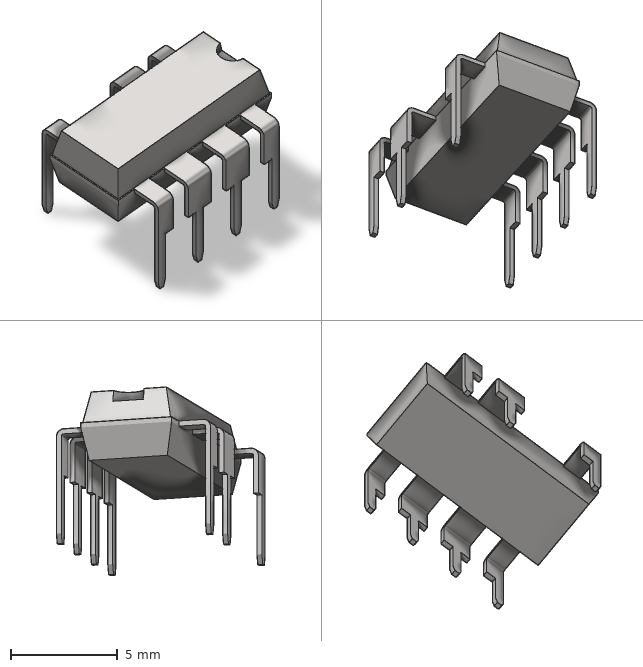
import cadquery as cq

BODY_LENGTH = 10.28
BODY_WIDTH = 4.49
HALF_HEIGHT = 1.52
TAPER_INSET = 0.32
UPPER_STEP = 0.07

NOTCH_RADIUS = 0.75
NOTCH_CENTRE_Y = 4.82
NOTCH_DEPTH = 0.54

LEAD_THICKNESS = 0.25
LEAD_SPAN = 7.62
LEAD_PITCH = 2.54
BEND_INNER_RADIUS = LEAD_THICKNESS / 2
BEND_OUTER_RADIUS = BEND_INNER_RADIUS + LEAD_THICKNESS
SHOULDER_WIDTH = 1.54
PIN_WIDTH = 0.48
TIP_WIDTH = 0.25
TIP_HEIGHT = 0.45
SHOULDER_Z = 3.3
BODY_BOTTOM_Z = 3.69

POSITION_COUNT = 4
LEFT_POSITIONS = (0, 2, 3)
RIGHT_POSITIONS = (0, 1, 2, 3)

BAND_BOTTOM_Z = BODY_BOTTOM_Z + HALF_HEIGHT
BAND_TOP_Z = BAND_BOTTOM_Z + LEAD_THICKNESS
BODY_TOP_Z = BAND_TOP_Z + HALF_HEIGHT


def tapered_half(width, length, base_z, direction):
    """Frustum growing from base_z up (direction 1) or down (direction -1)."""
    return (
        cq.Workplane("XY", origin=(0, 0, base_z))
        .rect(width, length)
        .workplane(offset=direction * HALF_HEIGHT)
        .rect(width - 2 * TAPER_INSET, length - 2 * TAPER_INSET)
        .loft(ruled=True)
    )


def make_body():
    band = (
        cq.Workplane("XY", origin=(0, 0, BAND_BOTTOM_Z))
        .rect(BODY_WIDTH, BODY_LENGTH)
        .extrude(LEAD_THICKNESS)
    )
    lower = tapered_half(BODY_WIDTH, BODY_LENGTH, BAND_BOTTOM_Z, -1)
    upper = tapered_half(BODY_WIDTH - 2 * UPPER_STEP, BODY_LENGTH - 2 * UPPER_STEP, BAND_TOP_Z, 1)
    notch = (
        cq.Workplane("XY", origin=(0, NOTCH_CENTRE_Y, BODY_TOP_Z))
        .circle(NOTCH_RADIUS)
        .extrude(-NOTCH_DEPTH)
    )
    return band.union(lower).union(upper).cut(notch)


def make_bent_strip():
    """Full-length sheet bent down on the +X side, from which single leads are cut."""
    outer_x = LEAD_SPAN / 2
    inner_x = outer_x - LEAD_THICKNESS
    bend_x = outer_x - BEND_OUTER_RADIUS
    bend_z = BAND_TOP_Z - BEND_OUTER_RADIUS
    root_x = BODY_WIDTH / 2 - LEAD_THICKNESS
    return (
        cq.Workplane("XZ")
        .moveTo(root_x, BAND_TOP_Z)
        .lineTo(bend_x, BAND_TOP_Z)
        .tangentArcPoint((outer_x, bend_z), relative=False)
        .lineTo(outer_x, 0)
        .lineTo(inner_x, 0)
        .lineTo(inner_x, bend_z)
        .tangentArcPoint((bend_x, BAND_BOTTOM_Z), relative=False)
        .lineTo(root_x, BAND_BOTTOM_Z)
        .close()
        .extrude(BODY_LENGTH / 2, both=True)
    )


def make_lead(strip, position):
    """Lead on the +X side; end leads lose the shoulder on their outer side."""
    low_edge = PIN_WIDTH / 2 if position == 0 else SHOULDER_WIDTH / 2
    high_edge = PIN_WIDTH / 2 if position == POSITION_COUNT - 1 else SHOULDER_WIDTH / 2
    centre_y = (position - (POSITION_COUNT - 1) / 2) * LEAD_PITCH
    shoulder = (
        cq.Workplane("YZ", origin=(0, centre_y, 0))
        .moveTo(-low_edge, SHOULDER_Z)
        .lineTo(high_edge, SHOULDER_Z)
        .lineTo(high_edge, BAND_TOP_Z)
        .lineTo(-low_edge, BAND_TOP_Z)
        .close()
        .extrude(LEAD_SPAN / 2)
    )
    pin = (
        cq.Workplane("YZ", origin=(0, centre_y, 0))
        .moveTo(-TIP_WIDTH / 2, 0)
        .lineTo(TIP_WIDTH / 2, 0)
        .lineTo(PIN_WIDTH / 2, TIP_HEIGHT)
        .lineTo(PIN_WIDTH / 2, SHOULDER_Z)
        .lineTo(-PIN_WIDTH / 2, SHOULDER_Z)
        .lineTo(-PIN_WIDTH / 2, TIP_HEIGHT)
        .close()
        .extrude(LEAD_SPAN / 2)
    )
    return strip.intersect(shoulder.union(pin))


result = make_body()
bent_strip = make_bent_strip()
for position in RIGHT_POSITIONS:
    result = result.union(make_lead(bent_strip, position))
for position in LEFT_POSITIONS:
    result = result.union(make_lead(bent_strip, position).mirror("YZ"))